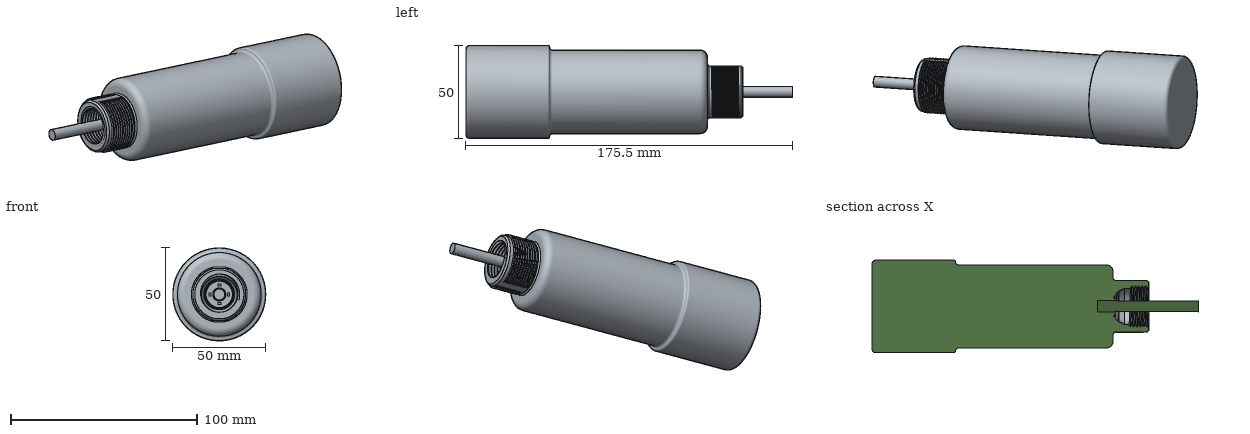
import cadquery as cq
import math


collar_radius = 25.0
collar_length = 45.0
rear_fillet = 2.0
collar_front_fillet = 1.0
neck_fillet = 1.5
barrel_radius = collar_radius - collar_front_fillet - neck_fillet
shoulder_depth = 129.75
shoulder_fillet = 4.0

nipple_length = 19.0
nipple_depth = shoulder_depth + nipple_length
nipple_radius = 14.2
nipple_flat_height = 14.0
nipple_chamfer = 1.0
nipple_base_flare = 0.8

outer_pitch = 1.5
outer_turns = 10
outer_crest_radius = 15.0
outer_root_width = 1.2
outer_crest_width = 0.25
outer_thread_length = outer_pitch * outer_turns
outer_thread_end = shoulder_depth + 16.7

bore_radius = 9.6
bore_length = 13.0
cone_end_radius = 8.2
cone_length = 3.0
inner_pitch = 1.814
inner_turns = 7
inner_groove_depth = 1.4
inner_groove_width = 1.5
inner_thread_length = inner_pitch * inner_turns

seat_chamfer = 0.5
seat_radius = 7.1
seat_length = 1.0
cone_end_depth = nipple_depth - bore_length - cone_length
seat_depth = cone_end_depth - seat_chamfer - seat_length
notch_distance = 5.0
notch_radial = 1.05
notch_tangential = 1.6
notch_length = 1.0
notch_count = 4

cable_radius = 2.95
cable_hole_chamfer = 0.55
cable_tip_depth = 175.5
cable_hole_length = 10.0

overlap = 0.15


def axial_plane(depth):
    """Plane across the axis at the given distance from the rear face, facing the cable end."""
    return cq.Plane(origin=(0, -depth, 0), xDir=(1, 0, 0), normal=(0, -1, 0))


def revolve_about_axis(profile):
    """Revolve an outline drawn in XY about the Y axis."""
    return profile.close().revolve(360, (0, 0, 0), (0, 1, 0))


def make_shell():
    """Collar and barrel as one revolved outline."""
    neck_depth = collar_length + neck_fillet
    diagonal = math.sqrt(0.5)

    def arc_middle(center_x, center_y, radius, x_sign, y_sign):
        return (center_x + x_sign * radius * diagonal, center_y + y_sign * radius * diagonal)

    rear_center = (collar_radius - rear_fillet, -rear_fillet)
    front_center = (collar_radius - collar_front_fillet, -collar_length + collar_front_fillet)
    neck_center = (barrel_radius + neck_fillet, -neck_depth)
    shoulder_center = (barrel_radius - shoulder_fillet, -shoulder_depth + shoulder_fillet)
    profile = (
        cq.Workplane("XY")
        .lineTo(rear_center[0], 0)
        .threePointArc(arc_middle(*rear_center, rear_fillet, 1, 1), (collar_radius, rear_center[1]))
        .lineTo(collar_radius, front_center[1])
        .threePointArc(
            arc_middle(*front_center, collar_front_fillet, 1, -1), (front_center[0], -collar_length)
        )
        .threePointArc(arc_middle(*neck_center, neck_fillet, -1, 1), (barrel_radius, -neck_depth))
        .lineTo(barrel_radius, shoulder_center[1])
        .threePointArc(
            arc_middle(*shoulder_center, shoulder_fillet, 1, -1), (shoulder_center[0], -shoulder_depth)
        )
        .lineTo(0, -shoulder_depth)
    )
    return revolve_about_axis(profile)


def helical_sweep(profile_points, pitch, length, radius, start_depth, start_angle):
    """Right-handed thread form about the axis, running from start_depth toward the rear face.

    profile_points are (radius, axial) pairs, with axial 0 at the start of the helix;
    start_angle is the turn about +Y from the +X side.
    """
    helix = cq.Wire.makeHelix(pitch, length, radius)
    thread = cq.Workplane("XZ").polyline(profile_points).close().sweep(cq.Workplane(helix), isFrenet=True)
    thread = thread.rotate((0, 0, 0), (1, 0, 0), -90)
    return thread.rotate((0, 0, 0), (0, 1, 0), start_angle).translate((0, -start_depth, 0))


def flatted_circle(plane, radius, flat_height):
    """Circle cut off by a flat at its top and its bottom."""
    half_flat = math.sqrt(radius**2 - flat_height**2)
    return (
        plane.moveTo(-half_flat, flat_height)
        .lineTo(half_flat, flat_height)
        .threePointArc((radius, 0), (half_flat, -flat_height))
        .lineTo(-half_flat, -flat_height)
        .threePointArc((-radius, 0), (-half_flat, flat_height))
        .close()
    )


def make_nipple_stretch(depth, length, start_growth, end_growth):
    """Stretch of the nipple whose outline grows or shrinks evenly from one end to the other."""
    stretch = cq.Workplane(axial_plane(depth))
    stretch = flatted_circle(stretch, nipple_radius + start_growth, nipple_flat_height + start_growth)
    stretch = stretch.workplane(offset=length)
    stretch = flatted_circle(stretch, nipple_radius + end_growth, nipple_flat_height + end_growth)
    return stretch.loft(ruled=True)


def make_nipple():
    """Nipple core with its flats, tip chamfer and flared base, carrying the external thread."""
    straight_depth = shoulder_depth + nipple_base_flare
    straight_length = nipple_length - nipple_base_flare - nipple_chamfer
    base = make_nipple_stretch(shoulder_depth, nipple_base_flare, nipple_base_flare, 0)
    middle = make_nipple_stretch(straight_depth, straight_length, 0, 0)
    tip = make_nipple_stretch(straight_depth + straight_length, nipple_chamfer, 0, -nipple_chamfer)

    ridge_points = [
        (nipple_radius - overlap, -outer_root_width / 2),
        (nipple_radius - overlap, outer_root_width / 2),
        (outer_crest_radius, outer_crest_width / 2),
        (outer_crest_radius, -outer_crest_width / 2),
    ]
    ridge = helical_sweep(
        ridge_points, outer_pitch, outer_thread_length, nipple_radius, outer_thread_end, 90
    )
    flat_limits = cq.Workplane(axial_plane(shoulder_depth)).rect(
        4 * nipple_radius, 2 * nipple_flat_height
    )
    ridge = ridge.intersect(flat_limits.extrude(nipple_length))
    return middle.union(ridge).union(base).union(tip)


def cut_bore(body):
    """Threaded bore with its cone, seat, notches and cable hole."""
    profile = (
        cq.Workplane("XY")
        .moveTo(0, -nipple_depth)
        .lineTo(bore_radius, -nipple_depth)
        .lineTo(bore_radius, -nipple_depth + bore_length)
        .lineTo(cone_end_radius, -cone_end_depth)
        .lineTo(cone_end_radius - seat_chamfer, -cone_end_depth + seat_chamfer)
        .lineTo(seat_radius, -cone_end_depth + seat_chamfer)
        .lineTo(seat_radius, -seat_depth)
        .lineTo(cable_radius + cable_hole_chamfer, -seat_depth)
        .lineTo(cable_radius, -seat_depth + cable_hole_chamfer)
        .lineTo(cable_radius, -seat_depth + cable_hole_length)
        .lineTo(0, -seat_depth + cable_hole_length)
    )
    body = body.cut(revolve_about_axis(profile))

    groove_points = [
        (bore_radius - overlap, -inner_groove_width / 2),
        (bore_radius - overlap, inner_groove_width / 2),
        (bore_radius + inner_groove_depth, 0),
    ]
    groove_start = nipple_depth + inner_pitch
    groove = helical_sweep(groove_points, inner_pitch, inner_thread_length, bore_radius, groove_start, -90)
    body = body.cut(groove)

    notches = (
        cq.Workplane(axial_plane(seat_depth))
        .polarArray(notch_distance, 0, 360, notch_count)
        .rect(notch_radial, notch_tangential)
        .extrude(-notch_length)
    )
    return body.cut(notches)


def make_housing():
    return cut_bore(make_shell().union(make_nipple()))


def make_cable():
    """Plain round cable, its inner end on the floor of the cable hole."""
    inner_depth = seat_depth - cable_hole_length
    return cq.Workplane(axial_plane(inner_depth)).circle(cable_radius).extrude(cable_tip_depth - inner_depth)


housing = make_housing()
cable = make_cable()
result = cq.Compound.makeCompound([housing.val(), cable.val()])